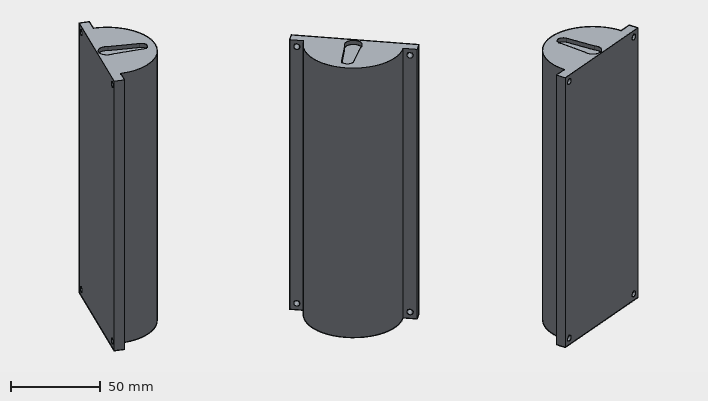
import cadquery as cq

length = 170.0
plate_width = 72.0
plate_thickness = 6.0
total_depth = 34.0

body_radius = total_depth - plate_thickness

hole_diameter = 3.4
hole_inset = 4.0

pocket_depth = 2.5
head_radius = 5.0
head_y = plate_thickness
tip_radius = 3.4
tip_y = 25.8
neck_half_width = 4.6
neck_y = 7.6


def make_body():
    plate = cq.Workplane("XY").box(
        plate_width, plate_thickness, length, centered=(True, False, False)
    )
    half_round = (
        cq.Workplane("XY")
        .moveTo(-body_radius, plate_thickness)
        .threePointArc((0, total_depth), (body_radius, plate_thickness))
        .close()
        .extrude(length)
    )
    return plate.union(half_round)


def make_screw_holes():
    return (
        cq.Workplane("XZ")
        .center(0, length / 2)
        .rect(plate_width - 2 * hole_inset, length - 2 * hole_inset, forConstruction=True)
        .vertices()
        .circle(hole_diameter / 2)
        .extrude(-plate_thickness)
    )


def make_keyhole_pocket():
    floor = cq.Workplane("XY").workplane(offset=length - pocket_depth)
    head = floor.center(0, head_y).circle(head_radius).extrude(pocket_depth)
    slot = (
        floor.moveTo(-neck_half_width, neck_y)
        .lineTo(-tip_radius, tip_y)
        .threePointArc((0, tip_y + tip_radius), (tip_radius, tip_y))
        .lineTo(neck_half_width, neck_y)
        .close()
        .extrude(pocket_depth)
    )
    return head.union(slot)


result = make_body().cut(make_screw_holes()).cut(make_keyhole_pocket())